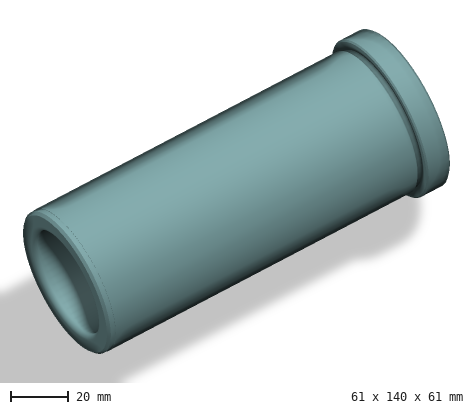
import cadquery as cq

length = 140.0
flange_diameter = 61.0
flange_thickness = 10.0
body_diameter = 55.2
bore_diameter = 40.0

groove_diameter = 53.5
groove_width = 1.5
groove_chamfer = 0.7

undercut_diameter = 56.5
undercut_depth = 0.3

lead_diameter = 54.9
lead_length = 3.0

flange_chamfer = 1.0
flange_under_chamfer = 0.5
lead_chamfer = 1.0
bore_fillet = 2.0

free_end = -length / 2
flange_end = length / 2
flange_underside = flange_end - flange_thickness
groove_end = flange_underside - groove_width


def make_outer_shape():
    """Revolve the stepped outside of the bushing about the Y axis."""
    flange_radius = flange_diameter / 2
    profile = (
        cq.Workplane("XY")
        .moveTo(0, free_end)
        .lineTo(lead_diameter / 2 - lead_chamfer, free_end)
        .lineTo(lead_diameter / 2, free_end + lead_chamfer)
        .lineTo(lead_diameter / 2, free_end + lead_length)
        .lineTo(body_diameter / 2, free_end + lead_length)
        .lineTo(body_diameter / 2, groove_end - groove_chamfer)
        .lineTo(groove_diameter / 2, groove_end)
        .lineTo(groove_diameter / 2, flange_underside + undercut_depth)
        .lineTo(undercut_diameter / 2, flange_underside)
        .lineTo(flange_radius - flange_under_chamfer, flange_underside)
        .lineTo(flange_radius, flange_underside + flange_under_chamfer)
        .lineTo(flange_radius, flange_end - flange_chamfer)
        .lineTo(flange_radius - flange_chamfer, flange_end)
        .lineTo(0, flange_end)
        .close()
    )
    return profile.revolve(360, (0, 0, 0), (0, 1, 0))


def make_bore():
    """Through bore with a rounded mouth at each end."""
    bore_radius = bore_diameter / 2
    mouth_radius = bore_radius + bore_fillet
    profile = (
        cq.Workplane("XY")
        .moveTo(0, free_end)
        .lineTo(mouth_radius, free_end)
        .radiusArc((bore_radius, free_end + bore_fillet), bore_fillet)
        .lineTo(bore_radius, flange_end - bore_fillet)
        .radiusArc((mouth_radius, flange_end), bore_fillet)
        .lineTo(0, flange_end)
        .close()
    )
    return profile.revolve(360, (0, 0, 0), (0, 1, 0))


result = make_outer_shape().cut(make_bore())